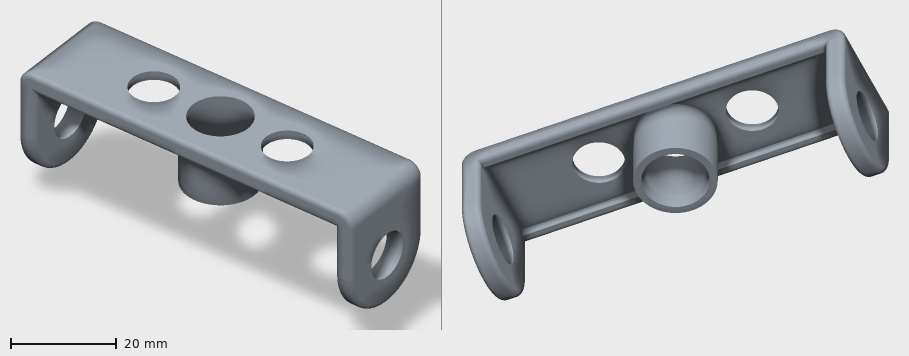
import cadquery as cq

length = 79.25
width = 22.3
height = 26.2
thickness = 4.0

bend_radius = 3.0
edge_radius = 1.0

hole_diameter = 10.0
hole_offset = 15.85
bore_diameter = 13.0
boss_diameter = 16.0
boss_reach = 15.0

web_floor = thickness / 2
inner_length = length - 2 * thickness
boss_end_z = height - boss_reach

pivot_z = width / 2


def bent_strap():
    """U-shaped strap with rounded outer bends, half-round leg ends and softened edges."""
    outer = (
        cq.Workplane("XY")
        .box(length, width, height, centered=(True, True, False))
        .edges("|Y and >Z")
        .fillet(bend_radius)
    )
    inner = cq.Workplane("XY").box(
        inner_length, width, height - thickness, centered=(True, True, False)
    )
    side_outline = (
        cq.Workplane("YZ")
        .moveTo(-width / 2, height)
        .lineTo(-width / 2, pivot_z)
        .threePointArc((0, 0), (width / 2, pivot_z))
        .lineTo(width / 2, height)
        .close()
        .extrude(length / 2, both=True)
    )
    strap = outer.cut(inner).intersect(side_outline)
    return strap.faces("<Y or >Y").edges().fillet(edge_radius)


def web_pocket():
    """Recess in the underside of the web, between the legs and the two side rims."""
    return cq.Workplane("XY").box(
        inner_length, width - 2 * web_floor, height - web_floor, centered=(True, True, False)
    )


def vertical_cylinder(diameter, top_z, x=0.0):
    """Cylinder from the free end of the boss up to top_z."""
    return (
        cq.Workplane("XY", origin=(x, 0, boss_end_z))
        .circle(diameter / 2)
        .extrude(top_z - boss_end_z)
    )


def pivot_holes():
    """Coaxial holes through the two legs, leaving the boss between them whole."""
    leg_bore = (
        cq.Workplane("YZ", origin=(-length / 2, 0, pivot_z))
        .circle(hole_diameter / 2)
        .extrude(thickness)
    )
    return leg_bore.union(leg_bore.mirror("YZ"))


result = bent_strap().cut(web_pocket())
result = result.union(vertical_cylinder(boss_diameter, height - web_floor / 2))

result = result.cut(vertical_cylinder(bore_diameter, height))
for hole_x in (-hole_offset, hole_offset):
    result = result.cut(vertical_cylinder(hole_diameter, height, hole_x))

result = result.cut(pivot_holes())